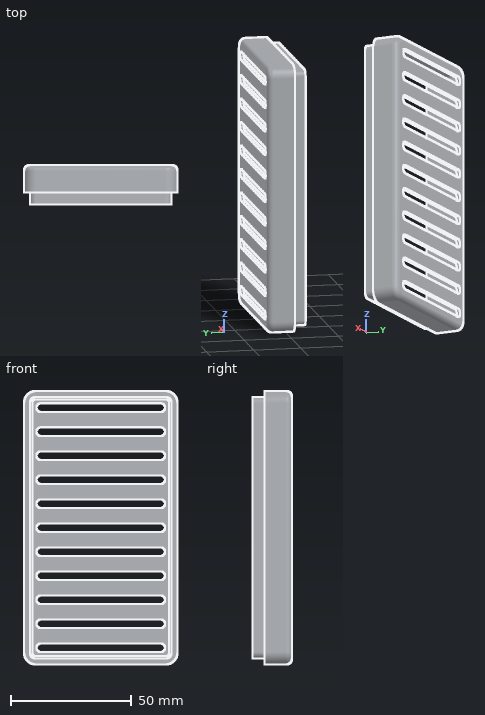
import cadquery as cq

WIDTH = 64.0
HEIGHT = 114.0
DEPTH = 16.5
CORNER_RADIUS = 5.0
BACK_EDGE_RADIUS = 2.5

LIP_LENGTH = 5.0
LIP_INSET = 2.5
LIP_WALL = 1.0
FLOOR_THICKNESS = 1.5

SLOT_COUNT = 11
SLOT_PITCH = 10.0
SLOT_LENGTH = 53.5
SLOT_HEIGHT = 3.5

BODY_DEPTH = DEPTH - LIP_LENGTH
FRONT_Y = -DEPTH / 2
BODY_FRONT_Y = FRONT_Y + LIP_LENGTH


def face_plane(y):
    """XZ workplane at the given Y whose extrusions run toward +Y."""
    return cq.Workplane(cq.Plane(origin=(0, y, 0), xDir=(1, 0, 0), normal=(0, 1, 0)))


def rounded_block(inset, front_y, depth):
    """Block following the body outline, moved inward by inset, with concentric corners."""
    block = face_plane(front_y).rect(WIDTH - 2 * inset, HEIGHT - 2 * inset).extrude(depth)
    return block.edges("|Y").fillet(CORNER_RADIUS - inset)


def make_body():
    body = rounded_block(0, BODY_FRONT_Y, BODY_DEPTH)
    return body.faces(">Y").edges().fillet(BACK_EDGE_RADIUS)


def make_lip():
    return rounded_block(LIP_INSET, FRONT_Y, LIP_LENGTH)


def make_cavity():
    return rounded_block(LIP_INSET + LIP_WALL, FRONT_Y, DEPTH - FLOOR_THICKNESS)


def make_slots():
    middle = (SLOT_COUNT - 1) / 2
    centres = [(0, (index - middle) * SLOT_PITCH) for index in range(SLOT_COUNT)]
    return face_plane(FRONT_Y).pushPoints(centres).slot2D(SLOT_LENGTH, SLOT_HEIGHT).extrude(DEPTH)


result = make_body().union(make_lip()).cut(make_cavity()).cut(make_slots())